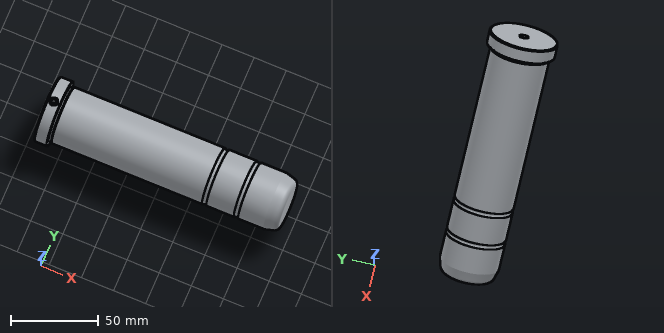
import cadquery as cq
import math

length = 150.0
head_radius = 40.0 / 2
head_length = 8.0
head_chamfer = 0.6
shaft_radius = 35.0 / 2

relief_end = 10.0
relief_depth = 0.5

groove_centers = (105.0, 124.8)
groove_width = 2.7
groove_depth = 0.6

taper_start = 142.0
taper_angle = math.radians(15)
nose_radius = 3.5

hole_diameter = 3.2
countersink_diameter = 5.2
countersink_depth = 1.0
hole_depth = 7.5
drill_tip_depth = 0.9


def pin_body():
    """Revolve the half outline of the head, shaft and nose around X."""
    relief_radius = shaft_radius - relief_depth
    taper_end = length - nose_radius * (1 - math.sin(taper_angle))
    taper_end_radius = shaft_radius - (taper_end - taper_start) * math.tan(taper_angle)
    arc_center_x = length - nose_radius
    arc_center_radius = taper_end_radius - nose_radius * math.cos(taper_angle)
    arc_middle_angle = (math.pi / 2 - taper_angle) / 2
    arc_middle = (
        arc_center_x + nose_radius * math.cos(arc_middle_angle),
        arc_center_radius + nose_radius * math.sin(arc_middle_angle),
    )
    outline = (
        cq.Workplane("XY")
        .lineTo(0, head_radius - head_chamfer)
        .lineTo(head_chamfer, head_radius)
        .lineTo(head_length, head_radius)
        .lineTo(head_length, relief_radius)
        .lineTo(relief_end - relief_depth, relief_radius)
        .lineTo(relief_end, shaft_radius)
    )
    for center in groove_centers:
        outline = outline.lineTo(center - groove_width / 2, shaft_radius).threePointArc(
            (center, shaft_radius - groove_depth),
            (center + groove_width / 2, shaft_radius),
        )
    outline = (
        outline.lineTo(taper_start, shaft_radius)
        .lineTo(taper_end, taper_end_radius)
        .threePointArc(arc_middle, (length, arc_center_radius))
        .lineTo(length, 0)
        .close()
    )
    return outline.revolve(360, (0, 0, 0), (1, 0, 0))


def hole_cutter():
    """Countersunk blind hole with a drill tip, from the origin down -Z."""
    hole_radius = hole_diameter / 2
    countersink_radius = countersink_diameter / 2
    return (
        cq.Workplane("XZ")
        .lineTo(countersink_radius, 0)
        .lineTo(hole_radius, -countersink_depth)
        .lineTo(hole_radius, -hole_depth)
        .lineTo(0, -hole_depth - drill_tip_depth)
        .close()
        .revolve(360, (0, 0, 0), (0, 1, 0))
    )


end_hole = hole_cutter().rotate((0, 0, 0), (0, 1, 0), -90)
side_hole = hole_cutter().translate((head_length / 2, 0, head_radius))

result = pin_body().cut(end_hole).cut(side_hole)